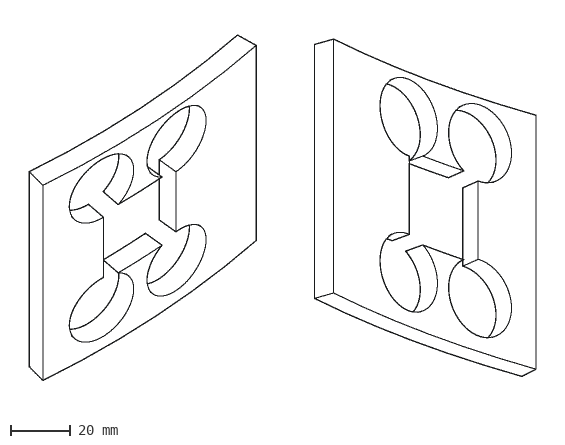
import cadquery as cq
import math

outer_radius = 350.1
thickness = 8.0
inner_radius = outer_radius - thickness
height = 91.65
length = 96.2
end_offset = 5.0
end_angle = math.asin((end_offset + length) / outer_radius)

window_angle = 10.0
window_z = 47.4
hole_diameter = 27.6
hole_half_angle = 2.75
hole_spacing_z = 55.9
slot_half_angle = 2.65
slot_height = 32.0

cut_margin = 4.8


def shell_point(radius, angle):
    """Point in XY at an angle (radians) from +X towards -Y."""
    return radius * math.cos(angle), -radius * math.sin(angle)


def curved_plate():
    """Plate with a flat end parallel to X and a radial end at -Y."""
    outer_start = math.asin(end_offset / outer_radius)
    inner_start = math.asin(end_offset / inner_radius)
    return (
        cq.Workplane("XY")
        .moveTo(*shell_point(inner_radius, inner_start))
        .lineTo(*shell_point(outer_radius, outer_start))
        .threePointArc(
            shell_point(outer_radius, (outer_start + end_angle) / 2),
            shell_point(outer_radius, end_angle),
        )
        .lineTo(*shell_point(inner_radius, end_angle))
        .threePointArc(
            shell_point(inner_radius, (inner_start + end_angle) / 2),
            shell_point(inner_radius, inner_start),
        )
        .close()
        .extrude(height)
    )


def radial_hole(angle_degrees, z):
    """Cylinder crossing the plate along a radius of the shell."""
    return (
        cq.Workplane("YZ", origin=(inner_radius - cut_margin, 0, z))
        .circle(hole_diameter / 2)
        .extrude(thickness + 2 * cut_margin)
        .rotate((0, 0, 0), (0, 0, 1), -angle_degrees)
    )


def slot():
    """Sector between two radial walls, flat at top and bottom."""
    first_angle = math.radians(window_angle - slot_half_angle)
    last_angle = math.radians(window_angle + slot_half_angle)
    near_radius = inner_radius - cut_margin
    far_radius = outer_radius + cut_margin
    return (
        cq.Workplane("XY", origin=(0, 0, window_z - slot_height / 2))
        .polyline([
            shell_point(near_radius, first_angle),
            shell_point(far_radius, first_angle),
            shell_point(far_radius, last_angle),
            shell_point(near_radius, last_angle),
        ])
        .close()
        .extrude(slot_height)
    )


result = curved_plate().cut(slot())
for side in (-1, 1):
    for level in (-1, 1):
        hole_angle = window_angle + side * hole_half_angle
        hole_z = window_z + level * hole_spacing_z / 2
        result = result.cut(radial_hole(hole_angle, hole_z))